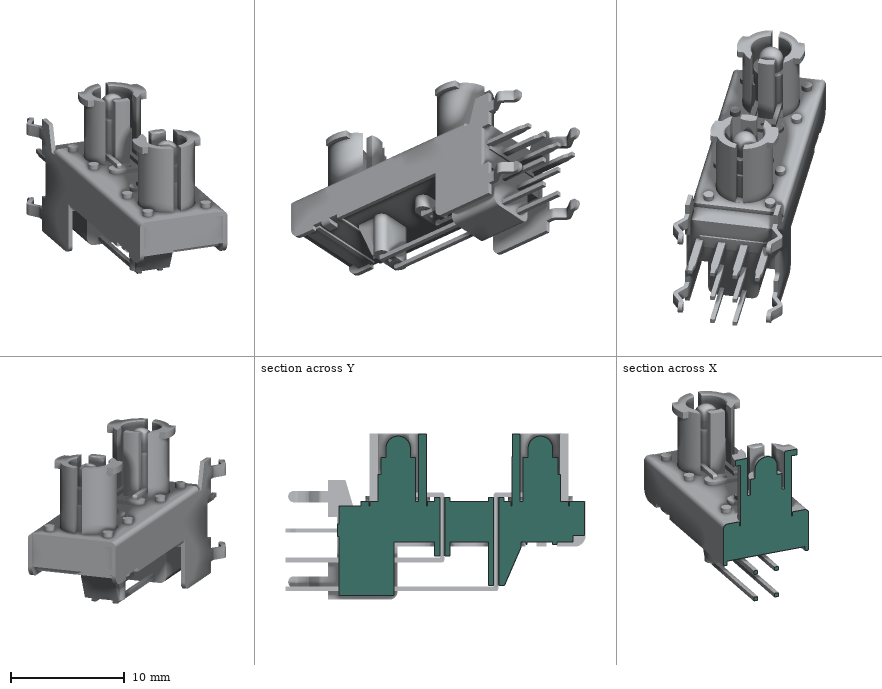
import cadquery as cq
import math


pin_tip_x = -9.885
cover_end_x = 16.495
barrel_pitch = 12.5
barrel_top = 5.95
barrel_root = -0.7
shell_bottom = -8.65

sheet = 0.4
shell_width = 8.3
shell_y = shell_width / 2
inner_y = shell_y - sheet
bend_radius = 0.44
wall_front_x = -6.13
wall_top = 1.88
tab_top_x = -4.61
tab_foot_x = -3.91
ledge_z = -0.48
cover_start_x = -3.28
cover_bottom = -4.0
notch_x = -5.33
notch_top = -1.4
notch_bottom = -5.37
notch_radius = 0.4
leg_rear_x = -0.03
leg_radius = 0.7
rear_radius = 1.0
window_start_x = 11.21
window_end_x = 13.99
window_top = -3.6
end_recess = 0.1
end_lip_y = 3.23

prong_height = 1.0
prong_levels = (0.4, -7.1)
prong_tip_x = -9.64
prong_peak_x = -7.86
prong_peak_y = 9.75 / 2
prong_run = 1.14
prong_angle = 36.7
bend_inner_radius = 0.16

body_front_x = -5.2
body_step_x = leg_rear_x - 0.3
body_step_z = -4.82
foot_bottom = -8.3
foot_width = 4.5
foot_radius = 0.65
strip_width = 6.0
strip_proud = 0.16
strip_top = -1.98
strip_bottom = -3.1

barrel_d = 5.0
cover_hole_d = 5.1
bore_d = 3.54
bore_chamfer = 0.1
slot_width = 0.7
opening_width = 2.94
tooth_width = 1.4
lug_d = 6.0
lug_width = 2.32
lug_height = 0.6
seat_z = 2.37

lens_base_d = 3.1
lens_base_top = 3.87
lens_d = 2.2
lens_dome_z = 4.66

stake_d = 0.9
stake_top = 0.46
stake_dx = 2.38
stake_dy = 2.75

boss_offset = 3.88
boss_width = 1.4
boss_length = 3.75
boss_top = 0.37
boss_bottoms = (-4.81, -7.43)
vent_d = 0.4
gusset_width = 3.2
gusset_top_x = 10.83
gusset_foot_x = 9.34

pin_pitch = 2.0
wire = 0.4
lead_z = 0.56
lead_bend = 0.2
wire_levels = (-5.17, -7.7)
blade_z = -2.57
blade_thick = 0.36
blade_width = 0.63
blade_tip_straight = 0.47
blade_taper_end = 0.94

tab_x = 12.6
tab_length = 0.87
tab_reach = 1.2
tab_bend_radius = 0.38
pad_bottom = -3.8
front_pad_end_x = 11.35
rear_pad_start_x = 13.56


def box(x0, x1, y0, y1, z0, z1):
    """Axis-aligned block between two opposite corners."""
    return cq.Workplane("XY").box(x1 - x0, y1 - y0, z1 - z0, centered=False).translate((x0, y0, z0))


def cylinder(x, y, diameter, z0, z1):
    """Vertical cylinder between two levels."""
    return cq.Workplane("XY", origin=(x, y, z0)).circle(diameter / 2).extrude(z1 - z0)


def side_prism(points, y0, y1):
    """Outline in the XZ plane extruded from y0 to y1."""
    return cq.Workplane("XZ", origin=(0, y0, 0)).polyline(points).close().extrude(y0 - y1)


def round_corner(solid, x, z, radius):
    """Fillet the Y-parallel edge at (x, z)."""
    reach = 0.05
    near = cq.selectors.BoxSelector(
        (x - reach, -shell_width, z - reach), (x + reach, shell_width, z + reach)
    )
    return solid.edges("|Y").edges(near).fillet(radius)


def make_wall_profile():
    """Side outline of the shell as a full-width prism."""
    points = [
        (wall_front_x, wall_top),
        (tab_top_x, wall_top),
        (tab_foot_x, ledge_z),
        (cover_start_x, ledge_z),
        (cover_start_x, 0),
        (cover_end_x, 0),
        (cover_end_x, cover_bottom),
        (window_end_x, cover_bottom),
        (window_end_x, window_top),
        (window_start_x, window_top),
        (window_start_x, cover_bottom),
        (leg_rear_x, cover_bottom),
        (leg_rear_x, shell_bottom),
        (wall_front_x, shell_bottom),
        (wall_front_x, notch_bottom),
        (notch_x, notch_bottom),
        (notch_x, notch_top),
        (wall_front_x, notch_top),
    ]
    profile = side_prism(points, -shell_y, shell_y)
    profile = round_corner(profile, cover_end_x, cover_bottom, rear_radius)
    return round_corner(profile, leg_rear_x, shell_bottom, leg_radius)


def make_shell():
    """Two side walls joined by a cover with rounded bends, stopping short at the rear end."""
    profile = make_wall_profile()
    near_wall = box(wall_front_x, cover_end_x, -shell_y, -inner_y, shell_bottom, wall_top)
    near_wall = near_wall.intersect(profile)
    for z in (notch_top, notch_bottom):
        near_wall = round_corner(near_wall, notch_x, z, notch_radius)
    rounded = box(cover_start_x, cover_end_x, -shell_y, shell_y, shell_bottom, 0)
    rounded = rounded.edges("|X and >Z").fillet(bend_radius)
    front = box(wall_front_x, cover_start_x, -shell_y, shell_y, shell_bottom, wall_top)
    shell = profile.union(near_wall).intersect(rounded.union(front))
    shell = shell.cut(box(cover_start_x, cover_end_x, -inner_y, inner_y, shell_bottom, -sheet))
    shell = shell.cut(box(wall_front_x, cover_start_x, -inner_y, inner_y, shell_bottom, wall_top))
    recess_x = cover_end_x - end_recess
    return shell.cut(box(recess_x, cover_end_x, -inner_y, end_lip_y, cover_bottom, 0))


def make_prong(level):
    """Bent prong on the +Y wall, with a round tip."""
    inner, outer = inner_y, shell_y
    angle = math.radians(prong_angle)
    left_x = prong_peak_x - prong_run
    right_x = prong_peak_x + prong_run
    inner_shift = sheet * math.tan(angle / 2)
    apex_outer = outer + prong_run * math.tan(angle)
    apex_inner = apex_outer - sheet / math.cos(angle)
    points = [
        (wall_front_x, outer),
        (right_x, outer),
        (prong_peak_x, apex_outer),
        (left_x, outer),
        (prong_tip_x, outer),
        (prong_tip_x, inner),
        (left_x + inner_shift, inner),
        (prong_peak_x, apex_inner),
        (right_x - inner_shift, inner),
        (wall_front_x, inner),
    ]
    outer_radius = (apex_outer - prong_peak_y) / (1 / math.cos(angle) - 1)
    bottom = level - prong_height / 2
    prong = cq.Workplane("XY", origin=(0, 0, bottom)).polyline(points).close().extrude(prong_height)
    bends = (
        (prong_peak_x, apex_outer, outer_radius),
        (prong_peak_x, apex_inner, bend_inner_radius),
        (left_x, outer, bend_inner_radius),
        (right_x, outer, bend_inner_radius),
        (left_x + inner_shift, inner, outer_radius),
        (right_x - inner_shift, inner, outer_radius),
    )
    for x, y, radius in bends:
        corner = cq.selectors.NearestToPointSelector((x, y, level))
        prong = prong.edges("|Z").edges(corner).fillet(radius)
    round_x = prong_tip_x + prong_height / 2
    outline = (
        cq.Workplane("XZ", origin=(0, prong_peak_y, 0))
        .moveTo(wall_front_x, level - prong_height / 2)
        .lineTo(round_x, level - prong_height / 2)
        .threePointArc((prong_tip_x, level), (round_x, level + prong_height / 2))
        .lineTo(wall_front_x, level + prong_height / 2)
        .close()
        .extrude(prong_peak_y)
    )
    return prong.intersect(outline)


def make_body():
    """Insulating block under the cover, with the narrow foot and the raised pin strip."""
    body_end_x = cover_end_x - end_recess
    body = box(body_front_x, body_end_x - rear_radius, -inner_y, inner_y, window_top, -sheet)
    body = body.union(box(body_front_x, body_end_x, -inner_y, inner_y, cover_bottom + rear_radius, -sheet))
    body = body.union(box(body_front_x, body_step_x, -inner_y, inner_y, body_step_z, -sheet))
    foot = box(body_front_x, body_step_x, -foot_width / 2, foot_width / 2, foot_bottom, -sheet)
    body = body.union(foot.edges("|X and <Z").fillet(foot_radius))
    strip_x = body_front_x - strip_proud
    body = body.union(box(strip_x, body_front_x, -strip_width / 2, strip_width / 2, strip_bottom, strip_top))
    for x0, x1 in ((window_start_x, front_pad_end_x), (rear_pad_start_x, window_end_x)):
        body = body.union(box(x0, x1, -inner_y, inner_y, pad_bottom, window_top))
    return body


def make_clinch_tab():
    """Tab at the bottom edge of the -Y wall, bent inward under the body."""
    half = tab_length / 2
    tab = box(
        tab_x - half, tab_x + half, -shell_y, -shell_y + tab_reach, window_top - sheet, window_top
    )
    return tab.edges("|X and <Y and <Z").fillet(tab_bend_radius)


def make_barrel():
    """Slotted barrel at the origin, open toward +X around a separate tooth."""
    radius = barrel_d / 2
    barrel = cylinder(0, 0, barrel_d, barrel_root, barrel_top)
    lugs = cylinder(0, 0, lug_d, barrel_top - lug_height, barrel_top)
    lugs = lugs.intersect(
        box(-lug_width / 2, lug_width / 2, -lug_d / 2, lug_d / 2, barrel_top - lug_height, barrel_top)
    )
    barrel = barrel.union(lugs).cut(cylinder(0, 0, bore_d, seat_z, barrel_top))
    chamfer = (
        cq.Workplane("XY", origin=(0, 0, barrel_top))
        .circle(bore_d / 2 + bore_chamfer)
        .workplane(offset=-bore_chamfer)
        .circle(bore_d / 2)
        .loft()
    )
    barrel = barrel.cut(chamfer)
    half_opening = opening_width / 2
    opening_x = math.sqrt((bore_d / 2) ** 2 - half_opening ** 2)
    tooth = barrel.intersect(box(bore_d / 2, radius, -tooth_width / 2, tooth_width / 2, 0, barrel_top))
    barrel = barrel.cut(box(opening_x, radius, -half_opening, half_opening, 0, barrel_top))
    slot = box(-radius, 0, -slot_width / 2, slot_width / 2, 0, barrel_top)
    barrel = barrel.cut(slot.cut(cylinder(0, 0, bore_d, 0, barrel_top)))
    return barrel.union(tooth).union(make_lens())


def make_lens():
    """Stepped round base with a domed lens on top."""
    lens = cylinder(0, 0, lens_base_d, barrel_root, lens_base_top)
    lens = lens.union(cylinder(0, 0, lens_d, lens_base_top, lens_dome_z))
    dome = cq.Workplane("XY").sphere(lens_d / 2).translate((0, 0, lens_dome_z))
    return lens.union(dome)


def make_boss(bottom):
    """Obround terminal boss passing through the cover beside the barrel."""
    return (
        cq.Workplane("XY", origin=(boss_offset, 0, bottom))
        .slot2D(boss_length, boss_width, 90)
        .extrude(boss_top - bottom)
    )


def make_lead(y):
    """Wire from the lens base, bent down into the boss."""
    half = wire / 2
    end_x = boss_offset + half
    lead = box(0, end_x, y - half, y + half, lead_z - half, lead_z + half)
    lead = lead.union(box(end_x - wire, end_x, y - half, y + half, 0, lead_z + half))
    return lead.edges("|Y and >X and >Z").fillet(lead_bend)


def make_station(bottom):
    """One barrel with its lens, boss, leads and heat stakes, opening toward +X."""
    station = make_barrel().union(make_boss(bottom))
    for y in (-pin_pitch / 2, pin_pitch / 2):
        station = station.union(make_lead(y))
    for dx in (-stake_dx, stake_dx):
        for dy in (-stake_dy, stake_dy):
            station = station.union(cylinder(dx, dy, stake_d, -sheet, stake_top))
    return station


def make_gusset():
    """Sloping rib behind the deeper boss."""
    boss_x = barrel_pitch - boss_offset
    points = [
        (boss_x, window_top),
        (gusset_top_x, window_top),
        (gusset_top_x, cover_bottom),
        (gusset_foot_x, boss_bottoms[1]),
        (boss_x, boss_bottoms[1]),
    ]
    return side_prism(points, -gusset_width / 2, gusset_width / 2)


def make_wire_pin(y, level, boss_x, boss_bottom):
    """Square wire running forward from below a boss to the pin tip."""
    half = wire / 2
    end_x = boss_x + half
    pin = box(pin_tip_x, end_x, y - half, y + half, level - half, level + half)
    pin = pin.union(box(end_x - wire, end_x, y - half, y + half, level - half, boss_bottom))
    return pin.edges("|Y and >X and <Z").fillet(lead_bend)


def make_blade_pin(y):
    """Flat pin of the upper row with a tapered tip."""
    tip = wire / 2
    full = blade_width / 2
    straight_x = pin_tip_x + blade_tip_straight
    taper_x = pin_tip_x + blade_taper_end
    points = [
        (pin_tip_x, -tip),
        (straight_x, -tip),
        (taper_x, -full),
        (body_front_x, -full),
        (body_front_x, full),
        (taper_x, full),
        (straight_x, tip),
        (pin_tip_x, tip),
    ]
    base = cq.Workplane("XY", origin=(0, y, blade_z - blade_thick / 2))
    return base.polyline(points).close().extrude(blade_thick)


clinch_tab = make_clinch_tab()
boss_positions = (boss_offset, barrel_pitch - boss_offset)

result = make_shell().union(make_body()).union(clinch_tab).union(clinch_tab.mirror("XZ"))
for barrel_x in (0, barrel_pitch):
    result = result.cut(cylinder(barrel_x, 0, cover_hole_d, -sheet, 0))
for prong_level in prong_levels:
    prong = make_prong(prong_level)
    result = result.union(prong).union(prong.mirror("XZ"))

result = result.union(make_station(boss_bottoms[0]))
rear_station = make_station(boss_bottoms[1]).mirror("YZ").translate((barrel_pitch, 0, 0))
result = result.union(rear_station).union(make_gusset())

for step in (-1.5, -0.5, 0.5, 1.5):
    result = result.union(make_blade_pin(step * pin_pitch))

for boss_x, boss_bottom, wire_level in zip(boss_positions, boss_bottoms, wire_levels):
    for pin_y in (-pin_pitch / 2, pin_pitch / 2):
        result = result.union(make_wire_pin(pin_y, wire_level, boss_x, boss_bottom))
    result = result.cut(cylinder(boss_x, 0, vent_d, shell_bottom, barrel_top))